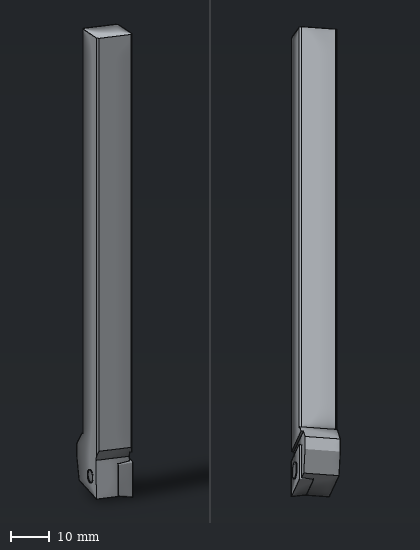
import cadquery as cq
import math

shank_size = 10.0
total_length = 125.0
total_width = 13.5
shank_left = total_width - shank_size
shank_chamfer = 0.5

edge_angle = 10.0
edge_slope = math.tan(math.radians(edge_angle))
shoulder_top = 15.9
shoulder_bottom = 12.1
heel_top = 8.6
heel_x = 1.5
heel_z = 2.6
flank_top = 13.6
flank_knee_x = 12.6
flank_knee_z = 11.0
flank_x = 13.0
head_tip_z = heel_z - (flank_x - heel_x) * edge_slope

relief_depth = 0.6
relief_right_z = 12.1
relief_left_z = relief_right_z + total_width * edge_slope

insert_side = 9.8
insert_thickness = 3.9
insert_clearance = 7.0
nose_radius = 0.4
corner_z = nose_radius * (1 - edge_slope - 1 / math.cos(math.radians(edge_angle)))
insert_run = insert_side * math.cos(math.radians(edge_angle))
insert_rise = insert_side * math.sin(math.radians(edge_angle))
insert_center_x = total_width - insert_run / 2
insert_center_z = corner_z + (insert_side + insert_rise) / 2

screw_head_diameter = 4.5
screw_head_height = 0.2
screw_recess_diameter = 3.5
screw_end_recess = 0.2


def xz_plane(y):
    """Sketch plane at depth y whose extrusions run toward -Y."""
    return cq.Workplane("XZ", origin=(0, y, 0))


def make_shank():
    """Square bar with its four long edges chamfered."""
    return (
        cq.Workplane("XY", origin=(0, 0, shoulder_top))
        .rect(shank_size, shank_size)
        .extrude(total_length - shoulder_top)
        .edges("|Z")
        .chamfer(shank_chamfer)
        .translate((shank_left + shank_size / 2, shank_size / 2, 0))
    )


def make_head():
    """Cranked head with the back face lowered around the insert."""
    outline = [
        (shank_left, shoulder_top),
        (0, shoulder_bottom),
        (0, heel_top),
        (heel_x, heel_z),
        (flank_x, head_tip_z),
        (flank_knee_x, flank_knee_z),
        (total_width, flank_top),
        (total_width, shoulder_top),
    ]
    head = xz_plane(shank_size).polyline(outline).close().extrude(shank_size)
    relief = (
        xz_plane(shank_size)
        .polyline([(0, 0), (total_width, 0), (total_width, relief_right_z), (0, relief_left_z)])
        .close()
        .extrude(relief_depth)
    )
    return head.edges("|Z and >X").chamfer(shank_chamfer).cut(relief)


def make_insert_blank():
    """Rhombic plate narrowing toward -Y by the clearance angle."""
    left = total_width - insert_run
    outline = [
        (total_width, corner_z),
        (total_width, corner_z + insert_side),
        (left, corner_z + insert_side + insert_rise),
        (left, corner_z + insert_rise),
    ]
    return (
        xz_plane(shank_size)
        .polyline(outline)
        .close()
        .extrude(insert_thickness, taper=insert_clearance)
        .edges("not #Y")
        .fillet(nose_radius)
    )


def make_screw_cylinder(y, diameter, depth):
    """Cylinder on the screw axis, running from depth y toward -Y."""
    return xz_plane(y).center(insert_center_x, insert_center_z).circle(diameter / 2).extrude(depth)


insert_blank = make_insert_blank()
screw_head = make_screw_cylinder(
    shank_size + screw_head_height, screw_head_diameter, insert_thickness + screw_head_height
)
screw_recess = make_screw_cylinder(screw_end_recess, screw_recess_diameter, screw_end_recess)

holder = make_shank().union(make_head()).cut(insert_blank).cut(screw_recess).union(screw_head)
insert = insert_blank.cut(screw_head)

result = cq.Compound.makeCompound([holder.val(), insert.val()])